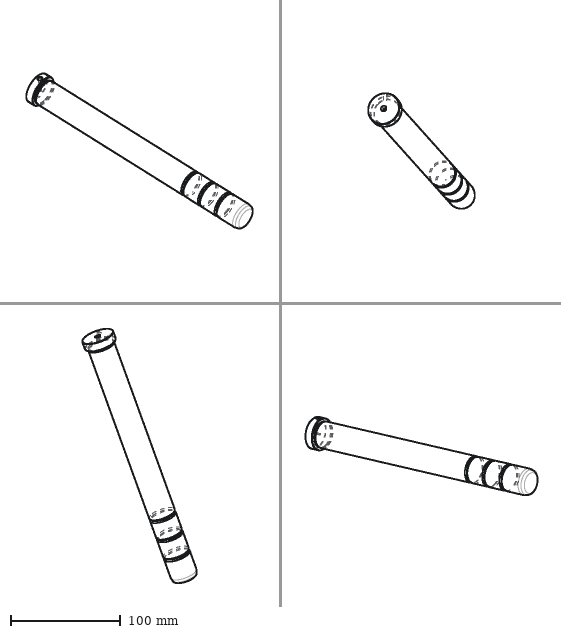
import cadquery as cq
import math

TOTAL_LENGTH = 250.0
HEAD_DIAMETER = 30.0
HEAD_LENGTH = 8.0
HEAD_CHAMFER = 0.4
SHAFT_DIAMETER = 25.0

UNDERCUT_DEPTH = 0.5
UNDERCUT_FLAT = 1.4
UNDERCUT_RAMP = 0.9

GROOVE_COUNT = 3
GROOVE_PITCH = 20.0
GROOVE_WIDTH = 3.0
GROOVE_DEPTH = 0.75
FIRST_GROOVE_CENTER = 185.0

LEAD_LENGTH = 5.0
LEAD_RADIAL_DROP = 0.7
END_ROUND = 2.2

DRILL_POINT_ANGLE = 120.0

BEVEL_ANGLE = 90.0
BEVEL_DIAMETER = 5.3
CENTERING_ANGLE = 60.0
CENTERING_DIAMETER = 3.3
PILOT_DIAMETER = 1.9
PILOT_DEPTH = 5.0

RIM_SINK_ANGLE = 90.0
RIM_SINK_DIAMETER = 5.2
RIM_BORE_DIAMETER = 3.4
RIM_BORE_DEPTH = 5.0
RIM_HOLE_X = HEAD_LENGTH / 2

HEAD_RADIUS = HEAD_DIAMETER / 2
SHAFT_RADIUS = SHAFT_DIAMETER / 2


def make_body():
    """Revolve the half profile of head, undercut, shaft and lead-in."""
    undercut_radius = SHAFT_RADIUS - UNDERCUT_DEPTH
    ramp_start = HEAD_LENGTH + UNDERCUT_FLAT
    end_radius = SHAFT_RADIUS - LEAD_RADIAL_DROP
    round_start = TOTAL_LENGTH - END_ROUND
    arc_offset = END_ROUND * math.sqrt(0.5)
    return (
        cq.Workplane("XZ")
        .lineTo(0, HEAD_RADIUS - HEAD_CHAMFER)
        .lineTo(HEAD_CHAMFER, HEAD_RADIUS)
        .lineTo(HEAD_LENGTH - HEAD_CHAMFER, HEAD_RADIUS)
        .lineTo(HEAD_LENGTH, HEAD_RADIUS - HEAD_CHAMFER)
        .lineTo(HEAD_LENGTH, undercut_radius)
        .lineTo(ramp_start, undercut_radius)
        .lineTo(ramp_start + UNDERCUT_RAMP, SHAFT_RADIUS)
        .lineTo(TOTAL_LENGTH - LEAD_LENGTH, SHAFT_RADIUS)
        .lineTo(round_start, end_radius)
        .threePointArc(
            (round_start + arc_offset, end_radius - END_ROUND + arc_offset),
            (TOTAL_LENGTH, end_radius - END_ROUND),
        )
        .lineTo(TOTAL_LENGTH, 0)
        .close()
        .revolve(360, (0, 0, 0), (1, 0, 0))
    )


def make_groove(center_x):
    """Ring that cuts one V groove around the shaft."""
    half_width = GROOVE_WIDTH / 2
    return (
        cq.Workplane("XZ")
        .moveTo(center_x - half_width, SHAFT_RADIUS)
        .lineTo(center_x, SHAFT_RADIUS - GROOVE_DEPTH)
        .lineTo(center_x + half_width, SHAFT_RADIUS)
        .lineTo(center_x + half_width, HEAD_RADIUS)
        .lineTo(center_x - half_width, HEAD_RADIUS)
        .close()
        .revolve(360, (0, 0, 0), (1, 0, 0))
    )


def cone_depth(large_diameter, small_diameter, included_angle):
    """Axial length of a cone narrowing between two diameters."""
    return (large_diameter - small_diameter) / 2 / math.tan(math.radians(included_angle / 2))


def make_center_hole():
    """Centre hole running along +X from the head face."""
    bevel_end = cone_depth(BEVEL_DIAMETER, CENTERING_DIAMETER, BEVEL_ANGLE)
    cone_end = bevel_end + cone_depth(CENTERING_DIAMETER, PILOT_DIAMETER, CENTERING_ANGLE)
    tip = PILOT_DEPTH + cone_depth(PILOT_DIAMETER, 0, DRILL_POINT_ANGLE)
    return (
        cq.Workplane("XZ")
        .lineTo(0, BEVEL_DIAMETER / 2)
        .lineTo(bevel_end, CENTERING_DIAMETER / 2)
        .lineTo(cone_end, PILOT_DIAMETER / 2)
        .lineTo(PILOT_DEPTH, PILOT_DIAMETER / 2)
        .lineTo(tip, 0)
        .close()
        .revolve(360, (0, 0, 0), (1, 0, 0))
    )


def make_rim_hole():
    """Countersunk hole running along -Z from the top of the head rim."""
    sink_end = cone_depth(RIM_SINK_DIAMETER, RIM_BORE_DIAMETER, RIM_SINK_ANGLE)
    tip = RIM_BORE_DEPTH + cone_depth(RIM_BORE_DIAMETER, 0, DRILL_POINT_ANGLE)
    return (
        cq.Workplane("XZ", origin=(RIM_HOLE_X, 0, HEAD_RADIUS))
        .lineTo(RIM_SINK_DIAMETER / 2, 0)
        .lineTo(RIM_BORE_DIAMETER / 2, -sink_end)
        .lineTo(RIM_BORE_DIAMETER / 2, -RIM_BORE_DEPTH)
        .lineTo(0, -tip)
        .close()
        .revolve(360, (0, 0, 0), (0, 1, 0))
    )


result = make_body().cut(make_center_hole()).cut(make_rim_hole())
for index in range(GROOVE_COUNT):
    result = result.cut(make_groove(FIRST_GROOVE_CENTER + index * GROOVE_PITCH))